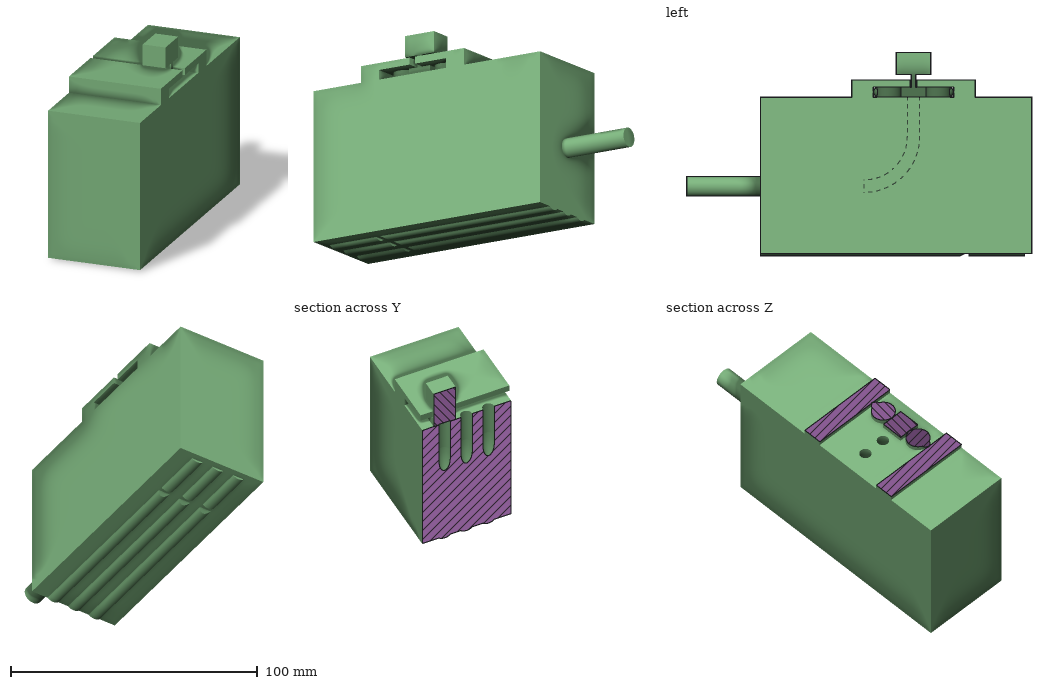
import cadquery as cq
import math


block_width = 40.0
block_length = 110.0
block_height = 63.4
block_front_y = -48.0
block_back_y = block_front_y + block_length
deck_length = 50.1
deck_height = 7.0

channel_length = 32.5
channel_height = 4.0
slot_width = 2.7

stub_diameter = 8.0
stub_length = 140.0 - block_length
stub_depth = 36.1

port_pitch = 10.0
port_xs = [-port_pitch, 0, port_pitch]
port_diameter = 5.0
port_bend_radius = 20.0
port_straight = stub_depth - port_bend_radius

ridge_diameter = stub_diameter
ridge_drop = 1.0
ridge_axis_z = -block_height - ridge_drop + ridge_diameter / 2
rear_ridge_front_y = -20.6
rear_ridge_slant = 1.8
front_ridge_back_y = -22.5
front_ridge_length = 22.5

knob_width = 10.0
knob_length = 14.0
knob_height = 9.0
neck_length = 2.0
knob_gap = 2.1
slider_x = port_pitch
foot_length = 10.1

roller_diameter = 10.0
roller_y = (foot_length + roller_diameter) / 2
ball_diameter = channel_height
ball_tip_y = channel_length / 2


def box(size_x, size_y, size_z, x, y, bottom_z):
    """Box centred at x, y and standing on bottom_z."""
    solid = cq.Workplane("XY").box(size_x, size_y, size_z, centered=(True, True, False))
    return solid.translate((x, y, bottom_z))


def rod_along_y(diameter, length, x, start_y, z):
    """Cylinder that runs from start_y toward +Y."""
    return cq.Workplane(cq.Solid.makeCylinder(
        diameter / 2, length, cq.Vector(x, start_y, z), cq.Vector(0, 1, 0)))


def port_bore(x):
    """Bore that drops from the slot floor and bends a quarter turn toward the back."""
    bend_middle_y = port_bend_radius * (1 - math.sqrt(0.5))
    bend_middle_z = -port_straight - port_bend_radius * math.sqrt(0.5)
    path = (
        cq.Workplane("YZ", origin=(x, 0, 0))
        .lineTo(0, -port_straight)
        .threePointArc((bend_middle_y, bend_middle_z), (port_bend_radius, -stub_depth))
    )
    return cq.Workplane("XY", origin=(x, 0, 0)).circle(port_diameter / 2).sweep(path)


def bottom_ridges(x):
    """Rear ridge with a slanted front end, and a shorter square-ended front ridge."""
    rear = rod_along_y(
        ridge_diameter, block_back_y - rear_ridge_front_y, x, rear_ridge_front_y, ridge_axis_z)
    slanted_profile = (
        cq.Workplane("YZ", origin=(x, 0, 0))
        .moveTo(rear_ridge_front_y, -block_height)
        .lineTo(rear_ridge_front_y + rear_ridge_slant, -block_height - ridge_drop)
        .lineTo(block_back_y, -block_height - ridge_drop)
        .lineTo(block_back_y, -block_height)
        .close()
        .extrude(ridge_diameter / 2, both=True)
    )
    front = rod_along_y(
        ridge_diameter, front_ridge_length, x, front_ridge_back_y - front_ridge_length, ridge_axis_z)
    return rear.intersect(slanted_profile), front


def make_housing():
    block_middle_y = (block_front_y + block_back_y) / 2
    body = box(block_width, block_length, block_height, 0, block_middle_y, -block_height)
    body = body.union(box(block_width, deck_length, deck_height, 0, 0, 0))
    body = body.cut(box(block_width, channel_length, channel_height, 0, 0, 0))
    body = body.cut(box(block_width, slot_width, deck_height, 0, 0, 0))
    body = body.union(rod_along_y(stub_diameter, stub_length, 0, block_back_y, -stub_depth))
    for x in port_xs:
        for ridge in bottom_ridges(x):
            body = body.union(ridge)
        body = body.cut(port_bore(x))
    return body


def make_slider():
    knob_bottom_z = deck_height + knob_gap
    foot = box(knob_width, foot_length, channel_height, slider_x, 0, 0)
    neck = box(knob_width, neck_length, knob_bottom_z, slider_x, 0, 0)
    knob = box(knob_width, knob_length, knob_height, slider_x, 0, knob_bottom_z)
    return foot.union(neck).union(knob)


def make_roller(side):
    """Upright roller with a ball end that reaches the channel wall; side is +1 or -1 along Y."""
    roller = cq.Workplane("XY").circle(roller_diameter / 2).extrude(channel_height)
    roller = roller.translate((slider_x, side * roller_y, 0))
    ball_y = side * (ball_tip_y - ball_diameter / 2)
    ball = cq.Workplane("XY").sphere(ball_diameter / 2).translate((slider_x, ball_y, channel_height / 2))
    return roller.union(ball)


housing = make_housing()
slider = make_slider()
rollers = [make_roller(side) for side in (-1, 1)]

result = cq.Compound.makeCompound([housing.val(), slider.val(), *[roller.val() for roller in rollers]])